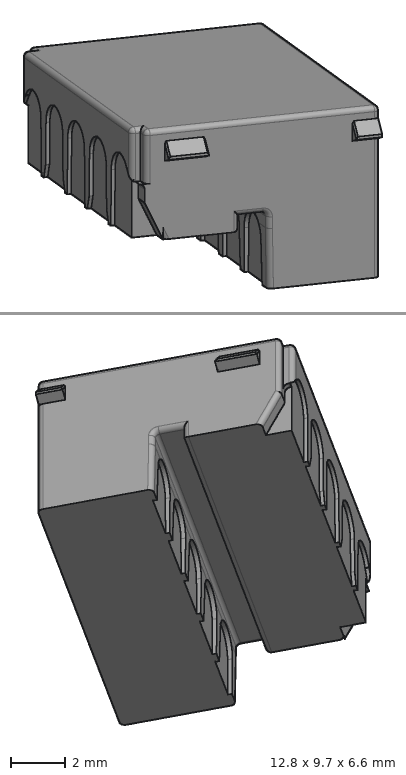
import cadquery as cq
import math

total_width = 12.8
body_width = 12.0
depth = 9.7
height = 6.6
edge_radius = 0.2

half_width = body_width / 2
back_y = depth / 2
front_y = -depth / 2

leg_bottom_depth = 4.42
leg_top_depth = 4.45
notch_length = 1.11
notch_top_z = 2.95
notch_corner_radius = 0.17
block_bottom_z = 2.33

leg_bottom_y = back_y - leg_bottom_depth
leg_top_y = back_y - leg_top_depth
block_back_y = leg_top_y - notch_length

shoulder_setback = 0.41
block_half_width = 5.55
lower_block_half_width = 5.34
ledge_z = 4.34
slope_top_z = 3.81
slope_run = 0.73
cove_radius = 0.2

shoulder_y = front_y + shoulder_setback
slope_bottom_y = shoulder_y + slope_run
overhang_z = ledge_z + cove_radius

arch_count = 5
arch_pitch = 2.24
arch_radius = 0.86
arch_foot_half_width = 0.91
outer_relief_rise = 0.45
arch_depth = 0.15
block_arch_top_z = 5.38
leg_arch_top_z = 2.6
flare_half_width = 1.09
flare_height = 0.67

tab_root_top_z = 6.12
tab_tip_top_z = 5.62
tab_tip_bottom_z = 5.5
tab_root_bottom_z = 5.35
tab_bevel = 0.06
tab_spans = [(3.78, 4.8), (-3.65, -2.05)]

PICK_SLACK = 0.001
MARGIN = 0.13


def side_prism(points, x_start, x_end):
    """Extrude a closed (y, z) polygon from x_start to x_end."""
    profile = cq.Workplane("YZ", origin=(x_start, 0, 0)).polyline(points).close()
    return profile.extrude(x_end - x_start)


def edges_in(body, x, y_span, z_span):
    """Edges whose centres lie on the plane at x and within the y and z spans."""
    low = (x - PICK_SLACK, y_span[0] - PICK_SLACK, z_span[0] - PICK_SLACK)
    high = (x + PICK_SLACK, y_span[1] + PICK_SLACK, z_span[1] + PICK_SLACK)
    return body.edges(cq.selectors.BoxSelector(low, high))


def stepped_body():
    """Wide body with its leg and notch, plus the narrower front block."""
    wide = side_prism(
        [
            (back_y, 0),
            (back_y, height),
            (shoulder_y, height),
            (shoulder_y, slope_top_z),
            (slope_bottom_y, block_bottom_z),
            (block_back_y, block_bottom_z),
            (block_back_y, notch_top_z),
            (leg_top_y, notch_top_z),
            (leg_top_y, block_bottom_z),
            (leg_bottom_y, 0),
        ],
        -half_width,
        half_width,
    )
    upper_block = side_prism(
        [(front_y, overhang_z), (front_y, height), (shoulder_y, height), (shoulder_y, overhang_z)],
        -block_half_width,
        block_half_width,
    )
    lower_block = side_prism(
        [
            (front_y, block_bottom_z),
            (front_y, overhang_z),
            (shoulder_y, overhang_z),
            (slope_bottom_y, block_bottom_z),
        ],
        -lower_block_half_width,
        lower_block_half_width,
    )
    return wide.union(upper_block).union(lower_block)


def round_notch(body):
    """Round the notch corner, the notch mouths and the lower rear edge of the block."""
    body = edges_in(body, 0, (leg_top_y, leg_top_y), (notch_top_z, notch_top_z)).fillet(notch_corner_radius)
    for x in (-half_width, half_width):
        mouth_y = (block_back_y, leg_bottom_y + MARGIN)
        body = edges_in(body, x, mouth_y, (MARGIN, notch_top_z)).fillet(edge_radius)
    return body.cut(rear_edge_waste())


def rear_edge_waste():
    """Material outside the rounded lower rear edge of the block."""
    center_y = block_back_y - edge_radius
    center_z = block_bottom_z + edge_radius
    arc_reach = edge_radius * math.sqrt(0.5)
    profile = (
        cq.Workplane("YZ", origin=(-half_width, 0, 0))
        .moveTo(center_y, block_bottom_z)
        .threePointArc((center_y + arc_reach, center_z - arc_reach), (block_back_y, center_z))
        .lineTo(block_back_y, block_bottom_z)
        .close()
    )
    return profile.extrude(body_width)


def round_outside(body):
    """Round the upright corners, the slopes and the top rim."""
    upright_z = (MARGIN, height - MARGIN)
    for side in (-1, 1):
        body_x = side * half_width
        block_x = side * block_half_width
        body = edges_in(body, body_x, (back_y, back_y), upright_z).fillet(edge_radius)
        body = edges_in(body, body_x, (shoulder_y, slope_bottom_y - MARGIN), upright_z).fillet(edge_radius)
        body = edges_in(body, block_x, (front_y, front_y), upright_z).fillet(edge_radius)
    return body.faces(">Z").edges().fillet(edge_radius)


def overhang_cove():
    """Concave blend under the block's overhang, running on to the +X side as a thin lip."""
    lip_y = shoulder_y - cove_radius
    arc_reach = cove_radius * math.sqrt(0.5)
    profile = (
        cq.Workplane("YZ", origin=(-block_half_width, 0, 0))
        .moveTo(shoulder_y, overhang_z)
        .lineTo(lip_y, overhang_z)
        .threePointArc((lip_y + arc_reach, ledge_z + arc_reach), (shoulder_y, ledge_z))
        .close()
    )
    return profile.extrude(block_half_width + half_width)


def square_corner():
    """Unrounded corner of the body under the lip on the +X side."""
    return side_prism(
        [
            (slope_bottom_y, overhang_z),
            (shoulder_y, overhang_z),
            (shoulder_y, slope_top_z),
            (slope_bottom_y, block_bottom_z),
        ],
        lower_block_half_width,
        half_width,
    )


def arch_cutter(center_x, floor_y, top_z, base_z):
    """Round-topped recess, open to -Y, whose sides widen slightly to its feet."""
    spring_z = top_z - arch_radius
    return (
        cq.Workplane("XZ", origin=(center_x, floor_y, 0))
        .moveTo(-arch_radius, spring_z)
        .threePointArc((0, top_z), (arch_radius, spring_z))
        .lineTo(arch_foot_half_width, base_z)
        .lineTo(-arch_foot_half_width, base_z)
        .close()
        .extrude(arch_depth + MARGIN)
    )


def foot_flare(center_x, floor_y, base_z):
    """Extra widening at the feet of an arch."""
    return (
        cq.Workplane("XZ", origin=(center_x, floor_y, 0))
        .moveTo(-arch_radius, base_z + flare_height)
        .lineTo(arch_radius, base_z + flare_height)
        .lineTo(flare_half_width, base_z)
        .lineTo(-flare_half_width, base_z)
        .close()
        .extrude(arch_depth + MARGIN)
    )


def corner_relief(side, floor_y):
    """Clears the block corner beside an outermost arch."""
    inner_x = side * (lower_block_half_width - MARGIN)
    outer_x = side * block_half_width
    return (
        cq.Workplane("XZ", origin=(0, floor_y, 0))
        .moveTo(inner_x, ledge_z)
        .lineTo(inner_x, overhang_z + outer_relief_rise)
        .lineTo(outer_x, overhang_z)
        .lineTo(outer_x, ledge_z)
        .close()
        .extrude(arch_depth + MARGIN)
    )


def cut_arches(body):
    """Cut the row of arches into the front of the block and of the leg."""
    block_floor_y = front_y + arch_depth
    leg_floor_y = leg_bottom_y + arch_depth
    for index in range(arch_count):
        center_x = (index - (arch_count - 1) / 2) * arch_pitch
        body = body.cut(arch_cutter(center_x, block_floor_y, block_arch_top_z, block_bottom_z))
        body = body.cut(arch_cutter(center_x, leg_floor_y, leg_arch_top_z, 0))
        if index % 2 == 1:
            body = body.cut(foot_flare(center_x, block_floor_y, block_bottom_z))
    for side in (-1, 1):
        body = body.cut(corner_relief(side, block_floor_y))
    return body


def side_tab(side, y_start, y_end):
    """Wedge tab standing out from one side of the body."""
    root_x = side * (half_width - MARGIN)
    face_x = side * half_width
    tip_x = side * total_width / 2
    tab = (
        cq.Workplane("XZ", origin=(0, y_end, 0))
        .moveTo(root_x, tab_root_top_z)
        .lineTo(face_x, tab_root_top_z)
        .lineTo(tip_x, tab_tip_top_z)
        .lineTo(tip_x, tab_tip_bottom_z)
        .lineTo(face_x, tab_root_bottom_z)
        .lineTo(root_x, tab_root_bottom_z)
        .close()
        .extrude(y_end - y_start)
    )
    slope_middle_z = (tab_root_top_z + tab_tip_top_z) / 2
    bevel_y = (y_start, min(y_end, back_y - MARGIN))
    slope_ends = edges_in(tab, (face_x + tip_x) / 2, bevel_y, (slope_middle_z, slope_middle_z))
    return slope_ends.chamfer(tab_bevel)


result = round_outside(round_notch(stepped_body()))
result = result.union(square_corner()).union(overhang_cove())
result = cut_arches(result)
for side in (-1, 1):
    for y_start, y_end in tab_spans:
        result = result.union(side_tab(side, y_start, y_end))